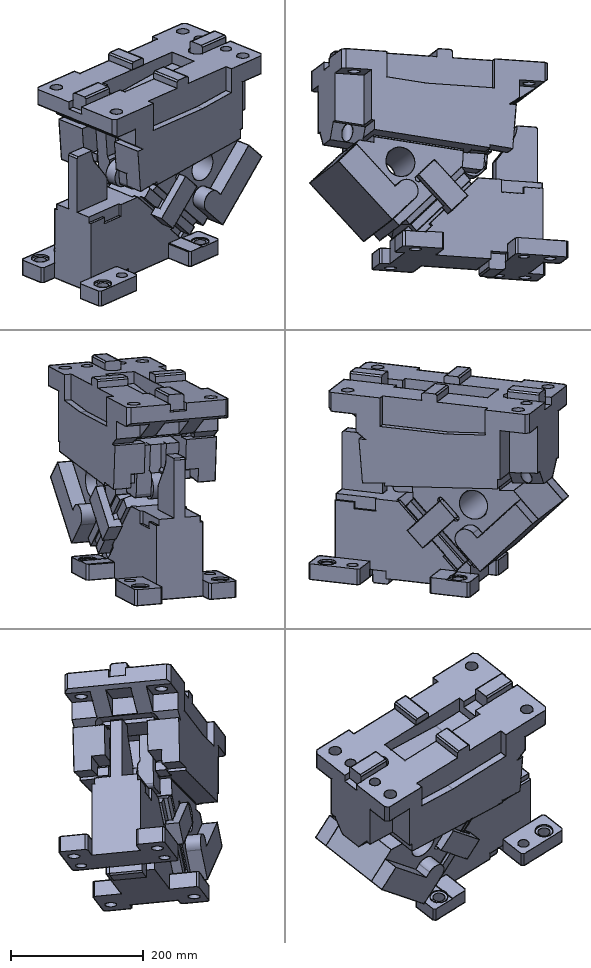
import cadquery as cq
import math


HALF_ROOT = math.sqrt(0.5)
DRIVE_TILT = math.tan(math.radians(5))

overall_depth = 359.5
overall_width = 165.0
overall_half = overall_width / 2
block_half = 37.8
slide_half = 51.5
core_half = 33.5
blade_half = 9.0
key_height = 12.5
key_sink = 12.0
edge_break = 2.5
far = 215.7

rail_crown_w = 208.0
rail_edge_w = 197.8
rail_under_w = 184.0
neck_w = 178.7
neck_deep_w = 174.0
neck_step_u = -109.5
rail_high_u = -15.5
rail_low_u = -139.0
rail_wide_u = -54.0
rail_crown_half = 15.0
rail_narrow_half = 40.0
rail_wide_half = 50.5
neck_half = 31.5
head_relief_w = 175.0
head_relief_half = 30.5
roof_slope = (rail_crown_w - rail_edge_w) / (rail_wide_half - rail_crown_half)

base_front = 26.2
base_back = 244.5
base_top = 124.0
foot_height = 24.8
front_foot = (0, 82.5)
rear_foot = (195.2, 260.0)
foot_chamfer = 3.2
rear_foot_step_y = 223.5
rear_foot_step = 1.0
bolt_x = 65.0
foot_bolt_ys = (23.7, 235.5)
foot_bolt_d = 18.0
foot_bore_d = 26.5
foot_bore_depth = 3.0
foot_dowel_d = 16.5
foot_dowel_y = 65.0
blade_top = 215.7
blade_top_back = 58.5
blade_back = 91.7
blade_curve_r = 39.0
blade_knee_z = 159.5
notch_side_half = 33.5
notch_step_y = 56.5
notch_shallow_z = 114.7
notch_deep_z = 104.5
base_key_y = (82.0, 108.2)
base_key_half = 25.5

arm_half = 75.0
arm_back_u = -165.5
arm_inner_u = -125.0
arm_low_w = 223.0
arm_high_w = overall_depth / HALF_ROOT + arm_back_u
arm_thick = 33.8
arm_tip_u = -115.5
slide_tip_u = -154.5
slide_back_y = 296.5
slide_shoulder = (319.5, 166.5)
slide_shoulder_low = 164.3
slide_front_top_y = 155.7
slide_front_low_y = 157.5
slide_hole = (255.0, 137.0)
slide_hole_d = 45.3
pad_inset = 1.0
pad_height = 2.5
liner_top_half = 49.3
liner_low_half = 46.5
clip_half = 64.0
clip_hook_half = 42.0
clip_u = (-80.5, -45.3)
clip_w = (170.8, 245.0)
relief_r = 4.5
relief_depth = 7.2
core_front_y = 116.5
core_datum_z = 164.3
core_top = 220.0
core_low = (137.5, 140.0)
core_round = 5.8
core_key_half = 28.5
core_key_z = 233.0
core_key_y = (152.8, 157.5)
nose_centre = (128.0, 152.8)
nose_r = 19.5
nose_half = 9.5
nose_recess_half = 13.0
nose_recess_taper = (174.7, 179.8)
nose_recess_back_y = 133.0

plate_top = 298.8
plate_under = 269.0
plate_front = 31.3
plate_back = 355.5
plate_corner = 5.5
drive_y = 123.5
drive_z = 160.7
drive_back_y = 305.3
toe = (87.7, 161.8)
toe_step_z = 165.5
ledge_y = (82.0, 92.8)
ledge_z = 230.5
slope_top_z = 274.0
front_pocket_y = 77.0
front_pocket_half = 19.5
front_pocket_outer = 44.0
rear_pocket_y = 310.0
rear_pocket_half = 44.0
rear_lip_z = 195.5
rear_tab_z = 172.0
rear_tab_half = (35.2, 18.5)
leg_notch_half = 54.5
leg_notch_z = 183.5
leg_notch_back_y = 143.8
mouth_half = 49.3
mouth_z = 241.0
mouth_depth_y = 102.5
mouth_round = 9.7
mouth_lip_half = 40.0
mouth_lip_y = 97.0
slot_top = 234.5
guide_x = (36.5, 53.5)
guide_front_y = 117.0
guide_z = (162.0, 179.0)
guide_chamfer = 3.5
holder_bolt_x = 62.5
holder_bolt_ys = (56.0, 331.0)
holder_bolt_d = 18.7
holder_dowel_x = 27.5
holder_dowel_d = 16.5
well_half = 23.0
well_y = (115.8, 163.5, 266.5)
well_depth = 27.5
side_recess = 11.0
side_recess_y = (116.0, 223.0, 285.5)
side_recess_z = 254.0
key_width = 26.2
key_half = key_width / 2
front_key_y = (41.0, 92.0)
rear_key_y = (295.0, 346.0)
rear_slot_end_y = 284.0
cross_key_y = (179.0, 203.5)
cross_key_x = (22.3, overall_half - side_recess)


def on_slope(u, w):
    """Turn rail coordinates into (Y, Z)."""
    return ((w - u) * HALF_ROOT, (w + u) * HALF_ROOT)


def drive_height(y):
    """Height of the tilted drive plane at a given Y."""
    return drive_z + DRIVE_TILT * (y - drive_y)


def slab(points, half):
    """Prism of a (Y, Z) outline, centred on X = 0."""
    return cq.Workplane("YZ").polyline(points).close().extrude(half, both=True)


def box(x, y, z):
    """Box from three (low, high) ranges."""
    size = [high - low for low, high in (x, y, z)]
    return cq.Workplane("XY").box(*size, centered=False).translate((x[0], y[0], z[0]))


def slope_slab(u, w, half):
    """Box lying on the 45 degree slope, centred on X = 0."""
    corners = [on_slope(u[0], w[0]), on_slope(u[1], w[0]), on_slope(u[1], w[1]), on_slope(u[0], w[1])]
    return slab(corners, half)


def slope_profile(points, low_u, high_u):
    """Extrude an (X, w) section up the slope from low_u to high_u."""
    y, z = on_slope(low_u, 0)
    plane = cq.Plane(origin=(0, y, z), xDir=(1, 0, 0), normal=(0, -1, 1))
    return cq.Workplane(plane).polyline(points).close().extrude(high_u - low_u)


def drill(x, y, diameter, low, high):
    """Vertical cylinder used to cut a hole."""
    return cq.Workplane("XY").center(x, y).circle(diameter / 2).extrude(high - low).translate((0, 0, low))


def both_sides(solid):
    """Join a solid with its mirror image across X = 0."""
    return solid.union(solid.mirror("YZ"))


def roof_w(x):
    """Height w of the rail roof at a given distance from the mid-plane."""
    return rail_crown_w - roof_slope * (x - rail_crown_half)


def rail_section(half):
    """Roofed (X, w) section of the rail."""
    right = [(half, rail_under_w), (half, roof_w(half)), (rail_crown_half, rail_crown_w)]
    left = [(-x, w) for x, w in reversed(right)]
    return right + left


def make_foot(y_range, free_end):
    """Foot on the +X side, chamfered at its outer corners and at the inner corner of its free end."""
    foot = box((block_half, overall_half), y_range, (0, foot_height))
    foot = foot.edges("|Z and >X").chamfer(foot_chamfer)
    return foot.edges("|Z and <X").edges(free_end).chamfer(foot_chamfer)


def make_blade():
    arc_end = (
        blade_top_back + blade_curve_r * (1 - HALF_ROOT),
        blade_top - blade_curve_r * HALF_ROOT,
    )
    arc_mid = (
        blade_top_back + blade_curve_r * (1 - math.cos(math.pi / 8)),
        blade_top - blade_curve_r * math.sin(math.pi / 8),
    )
    return (
        cq.Workplane("YZ")
        .moveTo(base_front, 0)
        .lineTo(base_front, blade_top - edge_break)
        .lineTo(base_front + edge_break, blade_top)
        .lineTo(blade_top_back, blade_top)
        .threePointArc(arc_mid, arc_end)
        .lineTo(blade_back, blade_knee_z)
        .lineTo(blade_back, 0)
        .close()
        .extrude(blade_half, both=True)
    )


def make_base():
    block = slab(
        [
            (base_front, 0),
            (base_front, base_top),
            (neck_w / HALF_ROOT - base_top, base_top),
            on_slope(rail_high_u, neck_w),
            on_slope(rail_high_u, rail_edge_w),
            on_slope(rail_low_u, rail_edge_w),
            (base_back, rail_edge_w / HALF_ROOT - base_back),
            (base_back, 0),
        ],
        block_half,
    )
    notch = slab(
        [
            (base_front, base_top),
            (base_front, notch_shallow_z),
            (notch_step_y, notch_shallow_z),
            (notch_step_y, notch_deep_z),
            (blade_back, notch_deep_z),
            (blade_back, base_top),
        ],
        far,
    )
    block = block.cut(notch.cut(box((-notch_side_half, notch_side_half), (0, far), (0, far))))

    groove = slope_slab((rail_low_u, rail_high_u + far), (neck_w, rail_under_w), far)
    groove = groove.union(slope_slab((rail_low_u, neck_step_u), (neck_deep_w, rail_under_w), far))
    groove = groove.cut(box((-neck_half, neck_half), (-far, 2 * far), (-far, 2 * far)))
    block = block.cut(groove)
    relief_u = (rail_high_u, rail_high_u + far)
    block = block.cut(slope_slab(relief_u, (head_relief_w, rail_crown_w), head_relief_half))

    rail = slope_profile(rail_section(rail_narrow_half), rail_low_u, rail_high_u)
    rail = rail.union(slope_profile(rail_section(rail_wide_half), rail_low_u, rail_wide_u))
    rear = make_foot(rear_foot, ">Y")
    rear = rear.edges("<Y and >Z").chamfer(rear_foot_step)
    step_z = (foot_height - rear_foot_step, foot_height)
    rear = rear.cut(box((block_half, overall_half), (rear_foot_step_y, rear_foot[1]), step_z))
    feet = both_sides(make_foot(front_foot, "<Y").union(rear))
    base = block.union(rail).union(make_blade()).union(feet)

    bore_floor = foot_height - foot_bore_depth
    for side in (-1, 1):
        for y in foot_bolt_ys:
            base = base.cut(drill(side * bolt_x, y, foot_bolt_d, 0, foot_height))
            base = base.cut(drill(side * bolt_x, y, foot_bore_d, bore_floor, foot_height))
        base = base.cut(drill(side * bolt_x, foot_dowel_y, foot_dowel_d, 0, foot_height))

    base = base.cut(box((-block_half, block_half), base_key_y, (0, key_sink)))
    key = box((-base_key_half, base_key_half), base_key_y, (-key_height, key_sink))
    return base.union(key.faces("<Z").edges("|X").chamfer(edge_break))


def make_arms():
    """L-shaped arms with a round-ended short leg."""
    tip_radius = arm_thick / 2
    mid_w = arm_low_w + tip_radius
    leg_top_w = arm_low_w + arm_thick
    return (
        cq.Workplane("YZ")
        .moveTo(*on_slope(arm_back_u, arm_low_w))
        .lineTo(*on_slope(arm_tip_u, arm_low_w))
        .threePointArc(on_slope(arm_tip_u + tip_radius, mid_w), on_slope(arm_tip_u, leg_top_w))
        .lineTo(*on_slope(arm_inner_u, leg_top_w))
        .lineTo(*on_slope(arm_inner_u, arm_high_w))
        .lineTo(*on_slope(arm_back_u, arm_high_w))
        .close()
        .extrude(arm_half, both=True)
    )


def make_clips():
    """Side clips whose hooks reach under the wide rail flanges."""
    plate = slope_slab(clip_u, clip_w, clip_half)
    gap = slope_slab(clip_u, (rail_under_w, clip_w[1]), slide_half)
    hook_gap = slope_slab(clip_u, clip_w, clip_hook_half)
    return plate.cut(gap).cut(hook_gap)


def core_face_y(z):
    """Position of the tilted front face of the core at a given height."""
    return core_front_y - DRIVE_TILT * (z - core_datum_z)


def make_core():
    """Block that rises inside the holder, with a recess and a round nose facing the blade."""
    front_top = core_face_y(core_top)
    core = slab(
        [
            (core_face_y(core_low[0]), core_low[0]),
            (front_top, core_top),
            (slide_front_low_y, core_top + DRIVE_TILT * (slide_front_low_y - front_top)),
            (slide_front_low_y, core_low[1]),
        ],
        core_half,
    )
    core = core.edges("|X and <Z").fillet(core_round)
    key = box((-core_key_half, core_key_half), core_key_y, (core_top, core_key_z))
    right = [
        (nose_recess_half, core_top),
        (nose_recess_half, nose_recess_taper[1]),
        (nose_half, nose_recess_taper[0]),
        (nose_half, nose_centre[1]),
    ]
    left = [(-x, z) for x, z in reversed(right)]
    recess = cq.Workplane("XZ").polyline(right + left).close().extrude(-nose_recess_back_y)
    nose = cq.Workplane("YZ").center(*nose_centre).circle(nose_r).extrude(nose_half, both=True)
    return core.cut(recess).union(key).union(nose)


def make_slide():
    body = slab(
        [
            (slide_front_low_y, rail_crown_w / HALF_ROOT - slide_front_low_y),
            (slide_front_top_y, drive_height(slide_front_top_y)),
            (slide_back_y, drive_height(slide_back_y)),
            (slide_back_y, slide_shoulder_low),
            slide_shoulder,
            on_slope(arm_back_u, arm_high_w),
            on_slope(arm_back_u, arm_low_w),
            on_slope(slide_tip_u, arm_low_w),
            on_slope(slide_tip_u, rail_crown_w),
        ],
        slide_half,
    )
    step = slab(
        [
            (0, drive_height(0) - pad_height),
            (0, drive_height(0) + far),
            (plate_back, drive_height(plate_back) + far),
            (plate_back, drive_height(plate_back) - pad_height),
        ],
        far,
    )
    pad_half = slide_half - pad_inset
    body = body.cut(step.cut(box((-pad_half, pad_half), (0, plate_back), (0, 2 * far))))
    liner = slope_profile(
        [
            (rail_crown_half, rail_crown_w),
            (liner_low_half, roof_w(liner_low_half)),
            (liner_top_half, rail_crown_w),
        ],
        rail_low_u,
        rail_high_u,
    )
    slide = body.union(both_sides(liner)).union(make_arms())

    for u in clip_u:
        relief = (
            cq.Workplane("YZ")
            .center(*on_slope(u, clip_w[1] - relief_r))
            .circle(relief_r)
            .extrude(far, both=True)
        )
        inner = slide_half - relief_depth
        slide = slide.cut(relief.cut(box((-inner, inner), (-far, 2 * far), (-far, 2 * far))))

    slide = slide.union(make_clips()).union(make_core())
    hole = cq.Workplane("YZ").center(*slide_hole).circle(slide_hole_d / 2).extrude(far, both=True)
    return slide.cut(hole)


def make_holder_body():
    body = slab(
        [
            (plate_front, plate_top),
            (plate_back, plate_top),
            (plate_back, rear_tab_z),
            (drive_back_y, rear_tab_z - DRIVE_TILT * (plate_back - drive_back_y)),
            (drive_back_y, drive_height(drive_back_y)),
            (drive_y, drive_z),
            (drive_y, toe_step_z),
            toe,
            (ledge_y[0], ledge_z),
            (ledge_y[1], ledge_z),
            (plate_front, slope_top_z),
        ],
        overall_half,
    )
    corners = body.edges("|Z").edges("<Y or >Y")
    return corners.chamfer(plate_corner)


def cut_under_pockets(holder):
    """Pockets below the plate at the front slope and at the back corners."""
    front = (front_pocket_y - far, front_pocket_y)
    height = (ledge_z, plate_under)
    holder = holder.cut(box((-front_pocket_half, front_pocket_half), front, height))
    holder = holder.cut(both_sides(box((front_pocket_outer, far), front, height)))
    rear = both_sides(box((rear_pocket_half, far), (rear_pocket_y, plate_back), (0, plate_under)))
    drop = rear_lip_z - rear_tab_z
    deep_x = 2 * rear_tab_half[1] - rear_tab_half[0]
    tab_plane = cq.Plane(origin=(0, plate_back, rear_lip_z), xDir=(1, 0, 0), normal=(0, -1, -DRIVE_TILT))
    beside_tab = (
        cq.Workplane(tab_plane)
        .polyline([(rear_tab_half[0], 0), (far, 0), (far, -2 * drop), (deep_x, -2 * drop)])
        .close()
        .extrude(far, both=True)
    )
    beside_tab = beside_tab.intersect(box((-far, far), (drive_back_y, plate_back), (0, plate_top)))
    return holder.cut(rear).cut(both_sides(beside_tab))


def cut_core_slot(holder):
    """Open slot for the slide core, its wider mouth and the notches inside the legs."""
    holder = holder.cut(box((-core_half, core_half), (0, slide_front_low_y), (0, slot_top)))
    legs = box((-leg_notch_half, leg_notch_half), (0, leg_notch_back_y), (0, leg_notch_z))
    mouth = box((-mouth_half, mouth_half), (0, mouth_depth_y), (ledge_z, mouth_z))
    mouth = mouth.edges("|Y and >Z").fillet(mouth_round)
    lip = box((-mouth_lip_half, mouth_lip_half), (mouth_lip_y, mouth_depth_y), (slot_top, mouth_z))
    return holder.cut(legs).cut(mouth).union(lip).union(both_sides(make_guide()))


def make_guide():
    """Small guide block standing in a leg notch."""
    guide = box(guide_x, (guide_front_y, leg_notch_back_y), guide_z)
    return guide.edges("|X and >Z and <Y").chamfer(guide_chamfer)


def cut_top_recesses(holder):
    """Sloping central well and side recesses."""
    floor = plate_top - well_depth
    well = slab(
        [
            (well_y[0], plate_top),
            (well_y[0], floor),
            (well_y[1], floor),
            (well_y[2], floor + DRIVE_TILT * (well_y[2] - well_y[1])),
            (well_y[2], plate_top),
        ],
        well_half,
    )
    recess = slab(
        [
            (side_recess_y[0], plate_top),
            (side_recess_y[0], side_recess_z),
            (side_recess_y[1], side_recess_z),
            (side_recess_y[2], side_recess_z + DRIVE_TILT * (side_recess_y[2] - side_recess_y[1])),
            (side_recess_y[2], plate_top),
        ],
        overall_half,
    )
    inner = overall_half - side_recess
    recess = recess.cut(box((-inner, inner), side_recess_y[::2], (0, plate_top)))
    return holder.cut(well).cut(recess)


def add_keys(holder):
    """Key slots with their keys, and the two cross keys."""
    slot_z = (plate_top - key_sink, plate_top)
    slot_x = (-key_half, key_half)
    holder = holder.cut(box(slot_x, (plate_front, well_y[0]), slot_z))
    round_y = rear_slot_end_y + key_half
    holder = holder.cut(box(slot_x, (round_y, plate_back), slot_z))
    holder = holder.cut(drill(0, round_y, key_width, *slot_z))
    key_z = (plate_top - key_sink, plate_top + key_height)
    for y_range in (front_key_y, rear_key_y):
        key = box(slot_x, y_range, key_z)
        holder = holder.union(key.faces(">Z").edges("|Y").chamfer(edge_break))
    cross_key = box(cross_key_x, cross_key_y, (plate_top, plate_top + key_height))
    cross_key = cross_key.faces(">Z").edges("|X").chamfer(edge_break)
    return holder.union(both_sides(cross_key))


def drill_holder(holder):
    """Corner bolt holes and the two dowel holes at the back."""
    for side in (-1, 1):
        for y in holder_bolt_ys:
            holder = holder.cut(drill(side * holder_bolt_x, y, holder_bolt_d, 0, plate_top))
        holder = holder.cut(drill(side * holder_dowel_x, holder_bolt_ys[1], holder_dowel_d, 0, plate_top))
    return holder


def make_holder():
    holder = make_holder_body()
    holder = cut_under_pockets(holder)
    holder = cut_core_slot(holder)
    holder = cut_top_recesses(holder)
    holder = drill_holder(holder)
    return add_keys(holder)


base = make_base()
slide = make_slide()
holder = make_holder()
result = cq.Compound.makeCompound([base.val(), slide.val(), holder.val()])